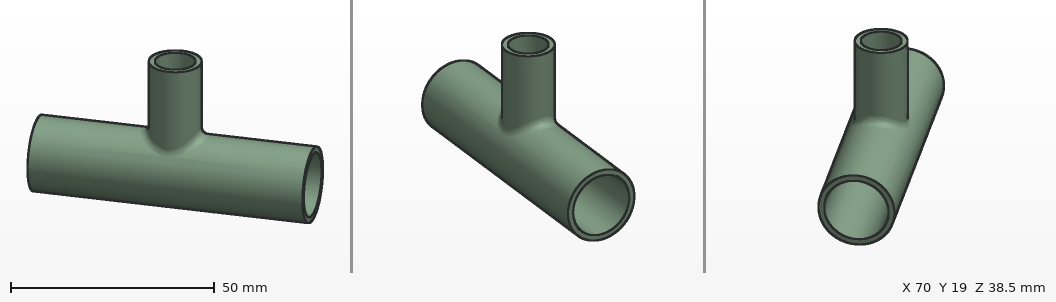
import cadquery as cq

run_length = 70.0
run_outer_diameter = 19.0
run_bore_diameter = 16.0

branch_outer_diameter = 13.0
branch_bore_diameter = 10.0
overall_height = 38.5
branch_top = overall_height - run_outer_diameter / 2

junction_fillet_radius = 2.0


def run_cylinder(diameter):
    """Full-length cylinder along the run axis."""
    return cq.Workplane("YZ").circle(diameter / 2).extrude(run_length / 2, both=True)


def branch_cylinder(diameter):
    """Cylinder from the run axis up to the open end of the branch."""
    return cq.Workplane("XY").circle(diameter / 2).extrude(branch_top)


outer_body = run_cylinder(run_outer_diameter).union(branch_cylinder(branch_outer_diameter))
junction_zone = cq.selectors.BoxSelector(
    (-branch_outer_diameter, -run_outer_diameter, 0),
    (branch_outer_diameter, run_outer_diameter, branch_top / 2),
    boundingbox=True,
)
outer_body = outer_body.edges(junction_zone).fillet(junction_fillet_radius)

result = outer_body.cut(run_cylinder(run_bore_diameter)).cut(branch_cylinder(branch_bore_diameter))